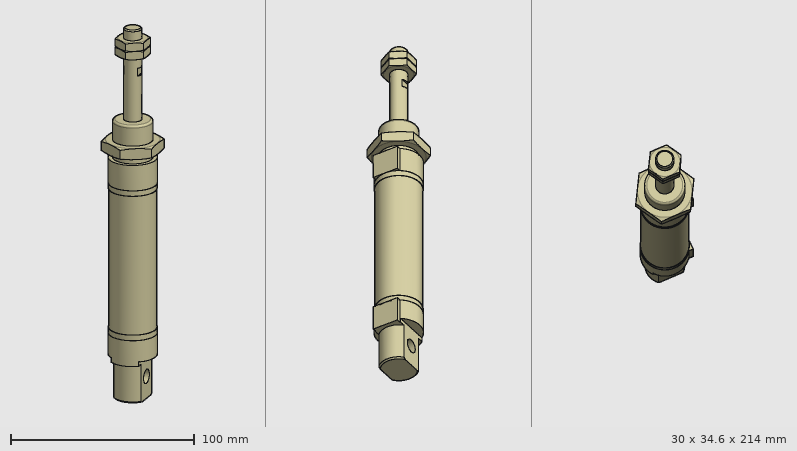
import cadquery as cq
import math

total_length = 214.0

cap_diameter = 27.0
tube_diameter = 26.3
crimp_diameter = 26.8
crimp_width = 3.2
cap_bottom = 22.3
cap_top = 138.9
rear_crimp_bottom = 37.2
front_crimp_top = 124.1

pad_width = 15.6
pad_front = cap_diameter / 2

neck_diameter = 22.0
neck_top = 161.0
neck_fillet = 1.3

lug_diameter = neck_diameter
lug_thickness = 16.3
lug_flat_top = 24.8
lug_chamfer = 0.9
pivot_diameter = 8.0
pivot_height = 12.8

rod_diameter = 10.0
rod_tip_diameter = 8.5
rod_bottom = cap_top
wrench_flats = 8.1
wrench_bottom = 187.2
wrench_top = 191.7

nut_sides = 6
nut_chamfer_angle = math.radians(15)
neck_nut_flats = 30.0
neck_nut_face_diameter = 29.7
neck_nut_height = 6.5
neck_nut_bottom = 142.7
rod_nut_flats = 17.0
rod_nut_face_diameter = 16.5
rod_nut_height = 5.0
rod_nut_count = 2
rod_nuts_bottom = 198.2


def cylinder(diameter, bottom, top):
    """Solid cylinder on the Z axis between two heights."""
    return cq.Workplane("XY").workplane(offset=bottom).circle(diameter / 2).extrude(top - bottom)


def port_pad(bottom, top):
    """Block from the axis to the +Y side, tangent to the cap."""
    return (
        cq.Workplane("XY")
        .box(pad_width, pad_front, top - bottom, centered=(True, False, False))
        .translate((0, 0, bottom))
    )


def cut_side_flats(solid, thickness, bottom, top):
    """Cut flats facing -X and +X between two heights, leaving the given thickness along X."""
    reach = cap_diameter
    for side in (-1, 1):
        slab = (
            cq.Workplane("XY")
            .box(reach, 2 * reach, top - bottom, centered=(True, True, False))
            .translate((side * (thickness + reach) / 2, 0, bottom))
        )
        solid = solid.cut(slab)
    return solid


def make_cylinder_body():
    """End caps, tube, crimped rings, neck and lug as one solid, bored for the rod."""
    rear_crimp_top = rear_crimp_bottom + crimp_width
    front_crimp_bottom = front_crimp_top - crimp_width
    lug = cylinder(lug_diameter, 0, cap_bottom).faces("<Z").chamfer(lug_chamfer)
    neck = cylinder(neck_diameter, cap_top, neck_top).faces(">Z").edges().fillet(neck_fillet)
    body = (
        cylinder(cap_diameter, cap_bottom, rear_crimp_bottom)
        .union(port_pad(cap_bottom, rear_crimp_bottom))
        .union(cylinder(crimp_diameter, rear_crimp_bottom, rear_crimp_top))
        .union(cylinder(tube_diameter, rear_crimp_top, front_crimp_bottom))
        .union(cylinder(crimp_diameter, front_crimp_bottom, front_crimp_top))
        .union(cylinder(cap_diameter, front_crimp_top, cap_top))
        .union(port_pad(front_crimp_top, cap_top))
        .union(neck)
        .union(lug)
    )
    body = cut_side_flats(body, lug_thickness, 0, lug_flat_top)
    pivot_hole = (
        cq.Workplane("YZ")
        .center(0, pivot_height)
        .circle(pivot_diameter / 2)
        .extrude(cap_diameter, both=True)
    )
    return body.cut(pivot_hole).cut(cylinder(rod_diameter, rod_bottom, neck_top))


def make_rod():
    """Piston rod with a chamfered tip and two wrench flats facing -X and +X."""
    tip_chamfer = (rod_diameter - rod_tip_diameter) / 2
    rod = cylinder(rod_diameter, rod_bottom, total_length).faces(">Z").chamfer(tip_chamfer)
    return cut_side_flats(rod, wrench_flats, wrench_bottom, wrench_top)


def make_nut(flats, face_diameter, height, bore, bottom):
    """Hexagon nut with flats facing +X and -X and its corners chamfered at both ends."""
    corner_radius = flats / 2 / math.cos(math.pi / nut_sides)
    face_radius = face_diameter / 2
    corner_step = 2 * math.pi / nut_sides
    drop = (corner_radius - face_radius) * math.tan(nut_chamfer_angle)
    corners = [
        (corner_radius * math.sin(i * corner_step), corner_radius * math.cos(i * corner_step))
        for i in range(nut_sides)
    ]
    hexagon = cq.Workplane("XY").polyline(corners).close().extrude(height)
    envelope = (
        cq.Workplane("XZ")
        .moveTo(0, 0)
        .lineTo(face_radius, 0)
        .lineTo(corner_radius, drop)
        .lineTo(corner_radius, height - drop)
        .lineTo(face_radius, height)
        .lineTo(0, height)
        .close()
        .revolve()
    )
    hole = cylinder(bore, 0, height)
    return hexagon.intersect(envelope).cut(hole).translate((0, 0, bottom))


cylinder_body = make_cylinder_body()
rod = make_rod()
neck_nut = make_nut(neck_nut_flats, neck_nut_face_diameter, neck_nut_height, neck_diameter, neck_nut_bottom)
rod_nuts = []
for i in range(rod_nut_count):
    nut_bottom = rod_nuts_bottom + i * rod_nut_height
    rod_nut = make_nut(rod_nut_flats, rod_nut_face_diameter, rod_nut_height, rod_diameter, nut_bottom)
    rod_nuts.append(rod_nut)

result = cq.Compound.makeCompound(
    [cylinder_body.val(), rod.val(), neck_nut.val(), *[nut.val() for nut in rod_nuts]]
)